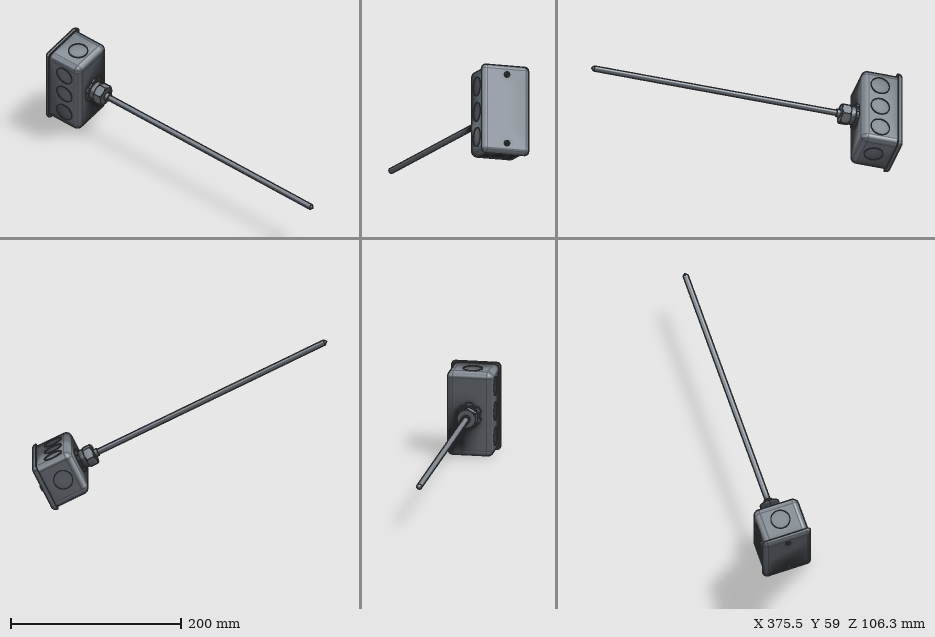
import cadquery as cq
import math

total_length = 375.5
screw_head_height = 1.5
cover_depth = 6.0
box_end_x = 50.5

cover_width = 59.0
cover_height = 106.3
cover_radius = 5.3

cover_overhang = 2.0
box_width = cover_width - 2 * cover_overhang
box_height = cover_height - 2 * cover_overhang
box_radius = 7.0

knockout_diameter = 22.5
knockout_depth = 0.95
knockout_x = 29.0
knockout_pitch = 30.5

screw_diameter = 6.5
screw_spacing = 82.5
recess_length = 3.8
recess_width = 1.0
recess_depth = 0.8

locknut_thickness = 3.0
locknut_root_diameter = 24.8
locknut_tip_diameter = 29.5
locknut_tooth_count = 6
tooth_angle = 30.0

neck_diameter = 21.5
nut_start_x = 59.0
nut_end_x = 70.2
nut_flats = 21.8
nut_chamfer_angle = 45.0
collar_diameter = 9.0
collar_end_x = 74.7
rod_diameter = 6.5

cover_face_x = screw_head_height
box_start_x = cover_face_x + cover_depth
locknut_end_x = box_end_x + locknut_thickness
nut_corners = nut_flats / math.cos(math.pi / 6)


def block_along_x(start_x, end_x, width, height):
    """Rectangular block centred on the X axis."""
    return (
        cq.Workplane("YZ", origin=(start_x, 0, 0))
        .rect(width, height)
        .extrude(end_x - start_x)
    )


def cylinder_along_x(start_x, end_x, diameter):
    """Round bar centred on the X axis."""
    return (
        cq.Workplane("YZ", origin=(start_x, 0, 0))
        .circle(diameter / 2)
        .extrude(end_x - start_x)
    )


def make_cover():
    """Shallow cover with rounded corners and a rounded outer face."""
    cover = block_along_x(cover_face_x, box_start_x, cover_width, cover_height)
    return cover.edges("|X or <X").fillet(cover_radius)


def cut_knockouts(box):
    """Three round recesses on each long side, one on each end."""
    long_side_places = [(knockout_x, step * knockout_pitch) for step in (-1, 0, 1)]
    side_tools = (
        cq.Workplane("XZ")
        .pushPoints(long_side_places)
        .circle(knockout_diameter / 2)
        .extrude(box_width, both=True)
    )
    end_tool = (
        cq.Workplane("XY")
        .center(knockout_x, 0)
        .circle(knockout_diameter / 2)
        .extrude(box_height, both=True)
    )
    side_core = block_along_x(0, box_end_x, box_width - 2 * knockout_depth, box_height)
    end_core = block_along_x(0, box_end_x, box_width, box_height - 2 * knockout_depth)
    return box.cut(side_tools.cut(side_core)).cut(end_tool.cut(end_core))


def make_box():
    """Box with rounded long edges and a rounded far face."""
    box = block_along_x(box_start_x, box_end_x, box_width, box_height)
    box = box.edges("|X or >X").fillet(box_radius)
    return cut_knockouts(box)


def make_screw(place_z):
    """Flat screw head resting on the cover, with a cross recess."""
    head = (
        cq.Workplane("YZ", origin=(0, 0, place_z))
        .circle(screw_diameter / 2)
        .extrude(screw_head_height)
    )
    for length_y, length_z in ((recess_length, recess_width), (recess_width, recess_length)):
        slot = (
            cq.Workplane("YZ", origin=(0, 0, place_z))
            .rect(length_y, length_z)
            .extrude(recess_depth)
        )
        head = head.cut(slot)
    return head


def make_locknut():
    """Flat ring with evenly spaced teeth, one of them pointing up."""
    locknut = cylinder_along_x(box_end_x, locknut_end_x, locknut_root_diameter)
    tip_radius = locknut_tip_diameter / 2
    half_angle = math.radians(tooth_angle / 2)
    tip_corner_y = tip_radius * math.sin(half_angle)
    tip_corner_z = tip_radius * math.cos(half_angle)
    tooth = (
        cq.Workplane("YZ", origin=(box_end_x, 0, 0))
        .lineTo(-tip_corner_y, tip_corner_z)
        .threePointArc((0, tip_radius), (tip_corner_y, tip_corner_z))
        .close()
        .extrude(locknut_thickness)
    )
    for index in range(locknut_tooth_count):
        turn = index * 360 / locknut_tooth_count
        locknut = locknut.union(tooth.rotate((0, 0, 0), (1, 0, 0), turn))
    return locknut


def make_hexagon_nut():
    """Hexagon with corners up and down, chamfered at both ends."""
    hexagon = (
        cq.Workplane("YZ", origin=(nut_start_x, 0, 0))
        .transformed(rotate=(0, 0, 90))
        .polygon(6, nut_corners)
        .extrude(nut_end_x - nut_start_x)
    )
    chamfer_height = (nut_corners - nut_flats) / 2
    chamfer_length = chamfer_height * math.tan(math.radians(nut_chamfer_angle))
    envelope = (
        cq.Workplane("XY")
        .moveTo(nut_start_x, 0)
        .lineTo(nut_start_x, nut_flats / 2)
        .lineTo(nut_start_x + chamfer_length, nut_corners / 2)
        .lineTo(nut_end_x - chamfer_length, nut_corners / 2)
        .lineTo(nut_end_x, nut_flats / 2)
        .lineTo(nut_end_x, 0)
        .close()
        .revolve(360, (0, 0, 0), (1, 0, 0))
    )
    return hexagon.intersect(envelope)


def make_rod():
    """Long round rod ending in a 45 degree point."""
    rod_radius = rod_diameter / 2
    return (
        cq.Workplane("XY")
        .moveTo(collar_end_x, 0)
        .lineTo(collar_end_x, rod_radius)
        .lineTo(total_length - rod_radius, rod_radius)
        .lineTo(total_length, 0)
        .close()
        .revolve(360, (0, 0, 0), (1, 0, 0))
    )


def make_probe():
    """Locknut, neck, hexagon nut, collar and rod as one body."""
    neck = cylinder_along_x(locknut_end_x, nut_start_x, neck_diameter)
    collar = cylinder_along_x(nut_end_x, collar_end_x, collar_diameter)
    probe = make_locknut()
    for section in (neck, make_hexagon_nut(), collar, make_rod()):
        probe = probe.union(section)
    return probe


cover = make_cover()
box = make_box()
probe = make_probe()
screws = []
for side in (-1, 1):
    screws.append(make_screw(side * screw_spacing / 2))

result = cq.Compound.makeCompound(
    [cover.val(), box.val(), probe.val(), *[screw.val() for screw in screws]]
)